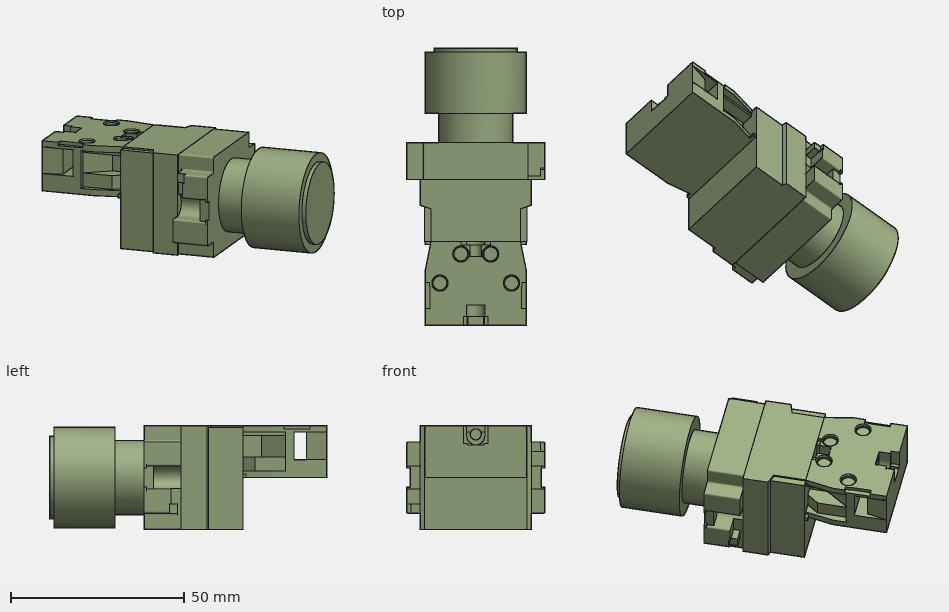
import cadquery as cq


total_length = 80.1
bezel_front = 78.9
bezel_back = 61.2
collar_front = 52.8
collar_back = 42.1
base_back = 24.2

cap_radius = 12.0
bezel_radius = 14.6
neck_radius = 10.75

half_height = 15.0
collar_half_width = 15.1
ear_half_span = 20.0
ear_half_height = 10.3
edge_radius = 0.5
rim_thickness = 0.7
rim_gap_half_height = 2.75
gap_half_height = 3.3
gap_floor_x = 18.95
groove_front = 50.1
groove_axis_x = 16.1
short_ear_back = 45.05
tab_half_span = 18.7
tab_top = 7.6
tab_front = 45.5
tab_back = 43.1

flange_half_width = 16.1
base_half_width = 14.85
land_half_width = 12.9
land_step = 0.45
flange_back = 34.65
shoulder_slope = 0.31

block_half_width = 14.6
block_nose_half_width = 12.95
block_taper_start = 15.95
foot_height = 1.1
foot_back = 23.3

window_start = 11.9
window_bottom = 1.85
window_top = 13.15
window_depth = 1.95
inner_slot_bottom = 5.95
inner_slot_top = 12.15
inner_slot_depth = 7.1
inner_slot_flat_start = 18.95
lower_notch_start = 20.8
lower_notch_depth = 4.6

passage_start = 5.9
passage_end = 9.5
passage_bottom = 5.2
passage_top = 13.15
entry_depth = 1.4

clip_start = 4.9
clip_bend = 9.8
clip_end = 12.4
clip_depth = 1.45
clip_end_depth = 1.2
clip_height = 1.0

terminal_positions = [(10.35, 12.2), (4.3, 20.6)]
terminal_radius = 2.0
terminal_depth = 1.1
terminal_chamfer = 0.35

screw_radius = 1.6
screw_axis_z = 12.5
screw_slot_start = 19.8
screw_head_radius = 2.6
rear_seat_half_width = 4.3
rear_seat_depth = 1.0
rear_seat_start = 23.25

front_slot_half_width = 3.55
front_slot_floor = 9.9
front_slot_end = 2.5
front_trough_axis_z = 12.05
front_channel_top_half_width = 2.55
front_channel_floor_half_width = 2.3
front_web = 0.05

mirror_signs = (-1, 1)


def box(x_range, y_range, z_range):
    """Axis-aligned box given the two end coordinates on each axis."""
    lows = [min(r) for r in (x_range, y_range, z_range)]
    sizes = [max(r) - min(r) for r in (x_range, y_range, z_range)]
    return cq.Workplane("XY").box(*sizes, centered=False).translate(tuple(lows))


def y_cylinder(radius, y_start, y_end, x=0.0, z=0.0):
    """Cylinder along Y."""
    solid = cq.Solid.makeCylinder(radius, y_end - y_start, cq.Vector(x, y_start, z), cq.Vector(0, 1, 0))
    return cq.Workplane(obj=solid)


def plan_prism(points, z_start, z_end):
    """Prism along Z from a closed outline in plan."""
    return cq.Workplane("XY").workplane(offset=z_start).polyline(points).close().extrude(z_end - z_start)


def mirrored(points, sign):
    """Plan outline of one flank: the +X points, or their mirror image."""
    return [(sign * x, y) for x, y in points]


def make_head():
    bezel = y_cylinder(bezel_radius, bezel_back, bezel_front)
    cap = y_cylinder(cap_radius, bezel_front, total_length)
    neck = y_cylinder(neck_radius, collar_front, bezel_back)
    return bezel.union(cap).union(neck)


def make_ear_gap(sign):
    """Gap between the two ears of one flank, with a round-bottomed groove behind its front wall."""
    outer_x = sign * ear_half_span
    floor_x = sign * gap_floor_x
    groove_x = sign * groove_axis_x
    rim_back = collar_front - rim_thickness
    lip = edge_radius
    rim_gap = box((floor_x, outer_x), (rim_back, collar_front), (-rim_gap_half_height, rim_gap_half_height))
    flare_x = sign * (ear_half_span - lip)
    flare_z = gap_half_height + lip
    gap = (
        cq.Workplane("XZ", origin=(0, rim_back, 0))
        .moveTo(floor_x, -gap_half_height)
        .lineTo(flare_x, -gap_half_height)
        .radiusArc((outer_x, -flare_z), sign * lip)
        .lineTo(outer_x, flare_z)
        .radiusArc((flare_x, gap_half_height), sign * lip)
        .lineTo(floor_x, gap_half_height)
        .close()
        .extrude(rim_back - collar_back)
    )
    groove_mouth = box((groove_x, floor_x), (collar_back, groove_front), (-gap_half_height, gap_half_height))
    groove = y_cylinder(gap_half_height, collar_back, groove_front, x=groove_x)
    return rim_gap.union(gap).union(groove_mouth).union(groove)


def make_latch_relief():
    """Cut that shortens the +X upper ear, leaving a small latch tab behind it."""
    outer = ear_half_span
    root = collar_half_width
    top = ear_half_height + edge_radius
    above_tab = box((root, outer), (collar_back, short_ear_back), (0, tab_top))
    behind_tab = box((root, outer), (collar_back, tab_back), (tab_top, top))
    beside_tab = box((tab_half_span, outer), (collar_back, tab_front), (tab_top, top))
    return above_tab.union(behind_tab).union(beside_tab)


def make_collar():
    core = box(
        (-collar_half_width, collar_half_width), (collar_back, collar_front), (-half_height, half_height)
    )
    ears = box(
        (-ear_half_span, ear_half_span), (collar_back, collar_front), (-ear_half_height, ear_half_height)
    )
    collar = core.union(ears).edges("|Y").fillet(edge_radius)
    for sign in mirror_signs:
        collar = collar.cut(make_ear_gap(sign))
    relief = make_latch_relief()
    for turn in (0, 180):
        collar = collar.cut(relief.rotate((0, 0, 0), (0, 1, 0), turn))
    return collar


def shoulder_y(x):
    """Y of the sloped shoulder at a distance x from the middle plane."""
    return flange_back - shoulder_slope * (flange_half_width - x)


def make_base():
    half_outline = [
        (flange_half_width, collar_back),
        (flange_half_width, flange_back),
        (base_half_width, shoulder_y(base_half_width)),
        (base_half_width, base_back),
    ]
    outline = half_outline + mirrored(half_outline, -1)[::-1]
    base = plan_prism(outline, -half_height, half_height)
    top_step = [
        (flange_half_width, flange_back),
        (land_half_width, shoulder_y(land_half_width)),
        (land_half_width, base_back),
        (flange_half_width, base_back),
    ]
    for sign in mirror_signs:
        base = base.cut(plan_prism(mirrored(top_step, sign), half_height - land_step, half_height))
    return base


def make_flank_cuts(sign):
    """Window, inner slot, lower notch, passage entry and clip notch of one flank."""
    side = block_half_width
    shelf = side - window_depth
    slot_floor = side - inner_slot_depth
    notch_floor = side - lower_notch_depth
    window = [(side, window_start), (shelf, window_start), (shelf, base_back), (side, base_back)]
    inner_slot = [
        (shelf, window_start),
        (slot_floor, inner_slot_flat_start),
        (slot_floor, base_back),
        (shelf, base_back),
    ]
    lower_notch = [(shelf, lower_notch_start), (notch_floor, base_back), (shelf, base_back)]
    passage_entry = [(side, 0), (side - entry_depth, passage_start), (side, passage_start)]
    clip_notch = [
        (side, clip_start),
        (side - clip_depth, clip_start),
        (side - clip_depth, clip_bend),
        (side - clip_end_depth, clip_end),
        (side, clip_end),
    ]
    cuts = plan_prism(mirrored(window, sign), window_bottom, window_top)
    cuts = cuts.union(plan_prism(mirrored(inner_slot, sign), inner_slot_bottom, inner_slot_top))
    cuts = cuts.union(plan_prism(mirrored(lower_notch, sign), window_bottom, inner_slot_bottom))
    cuts = cuts.union(plan_prism(mirrored(passage_entry, sign), passage_bottom, passage_top))
    return cuts.union(plan_prism(mirrored(clip_notch, sign), half_height - clip_height, half_height))


def open_trough(radius, axis_z, y_start, y_end):
    """Round-bottomed trough along Y, open at the top face."""
    slot = box((-radius, radius), (y_start, y_end), (axis_z, half_height))
    return slot.union(y_cylinder(radius, y_start, y_end, z=axis_z))


def make_screw_cuts():
    """Clamping-screw bore with its front access pocket and rear seat."""
    bore = y_cylinder(screw_radius, front_slot_end, base_back, z=screw_axis_z)
    shank_slot = open_trough(screw_radius, screw_axis_z, screw_slot_start, base_back)
    head_seat = open_trough(screw_head_radius, screw_axis_z, rear_seat_start, base_back)
    rear_seat = box(
        (-rear_seat_half_width, rear_seat_half_width),
        (rear_seat_start, base_back),
        (half_height - rear_seat_depth, half_height),
    )
    front_slot = box(
        (-front_slot_half_width, front_slot_half_width), (0, front_slot_end), (front_slot_floor, half_height)
    )
    channel_floor = front_trough_axis_z - screw_head_radius
    front_channel = (
        cq.Workplane("XZ")
        .moveTo(-front_channel_floor_half_width, channel_floor)
        .lineTo(front_channel_floor_half_width, channel_floor)
        .lineTo(front_channel_top_half_width, front_slot_floor)
        .lineTo(-front_channel_top_half_width, front_slot_floor)
        .close()
        .extrude(-front_slot_end)
    )
    trough_end = passage_start - front_web
    front_trough = open_trough(screw_head_radius, front_trough_axis_z, front_slot_end, trough_end)
    cuts = bore.union(shank_slot).union(head_seat).union(rear_seat)
    return cuts.union(front_slot).union(front_channel).union(front_trough)


def make_terminal_hole(x, y):
    """Blind terminal hole with a chamfered mouth."""
    floor_z = half_height - terminal_depth
    mouth_radius = terminal_radius + terminal_chamfer
    profile = [
        (0, floor_z),
        (terminal_radius, floor_z),
        (terminal_radius, half_height - terminal_chamfer),
        (mouth_radius, half_height),
        (0, half_height),
    ]
    return cq.Workplane("XZ").polyline(profile).close().revolve(360, (0, 0), (0, 1)).translate((x, y, 0))


def make_contact_block():
    half_outline = [
        (block_half_width, 0),
        (block_half_width, block_taper_start),
        (block_nose_half_width, base_back),
    ]
    block = plan_prism(half_outline + mirrored(half_outline, -1)[::-1], 0, half_height)
    for sign in mirror_signs:
        block = block.cut(make_flank_cuts(sign))
        for x, y in terminal_positions:
            block = block.cut(make_terminal_hole(sign * x, y))
    block = block.cut(
        box(
            (-block_half_width, block_half_width),
            (passage_start, passage_end),
            (passage_bottom, passage_top),
        )
    )
    block = block.cut(make_screw_cuts())
    feet = box((-block_half_width, block_half_width), (foot_back, base_back), (0, foot_height))
    return block.union(feet)


head = make_head()
collar = make_collar()
base = make_base()
contact_block = make_contact_block()

result = cq.Compound.makeCompound([head.val(), collar.val(), base.val(), contact_block.val()])